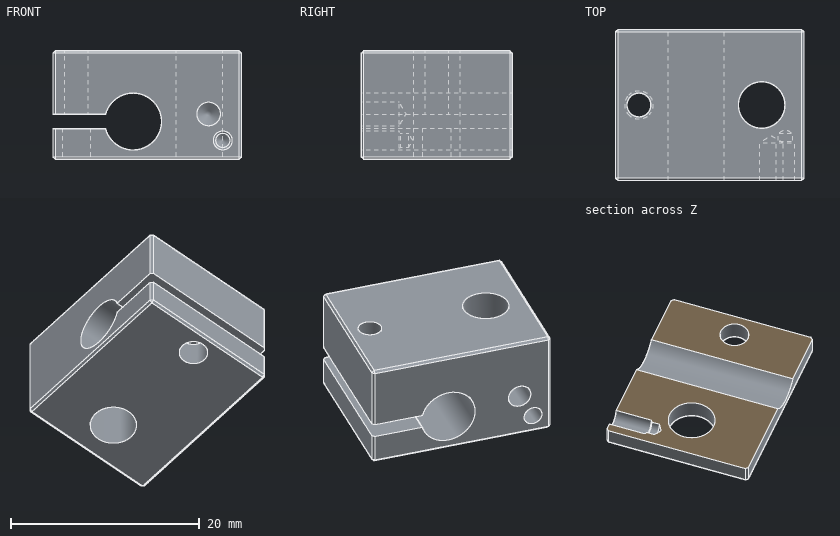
import cadquery as cq
import math

length = 20.0
width = 16.0
height = 11.5
edge_chamfer = 0.25

clamp_x = -1.5
clamp_z = 4.0
clamp_diameter = 6.0
slit_height = 1.5

heater_x = 5.5
heater_diameter = 4.9

clamp_screw_x = -7.5
clamp_screw_diameter = 2.5
clamp_screw_clearance_diameter = 3.0

drill_tip_angle = 118.0
sensor_x, sensor_z = 6.5, 4.8
sensor_diameter = 2.5
sensor_depth = 4.0
screw_x, screw_z = 8.0, 2.0
screw_diameter = 2.0
screw_core_diameter = 1.5
screw_depth = 4.0
screw_core_depth = 5.0


def vertical_cylinder(x, diameter, top_z):
    """Cylinder on the centre plane, running from the bottom face up to top_z."""
    return cq.Workplane("XY").center(x, 0).circle(diameter / 2).extrude(top_z)


def cylinder_along_y(x, z, diameter, depth):
    """Cylinder running from the -Y face in the +Y direction."""
    start = cq.Vector(x, -width / 2, z)
    return cq.Workplane(obj=cq.Solid.makeCylinder(diameter / 2, depth, start, cq.Vector(0, 1, 0)))


def drilled_hole(x, z, diameter, depth):
    """Blind hole from the -Y face; depth is the straight length before the tip."""
    tip_length = diameter / 2 / math.tan(math.radians(drill_tip_angle / 2))
    tip_start = cq.Vector(x, depth - width / 2, z)
    tip = cq.Solid.makeCone(diameter / 2, 0, tip_length, tip_start, cq.Vector(0, 1, 0))
    return cylinder_along_y(x, z, diameter, depth).union(cq.Workplane(obj=tip))


block = cq.Workplane("XY").box(length, width, height, centered=(True, True, False))
result = block.edges().chamfer(edge_chamfer)

slit_length = clamp_x + length / 2
slit = cq.Workplane("XY").box(slit_length, width, slit_height)
slit = slit.translate((clamp_x - slit_length / 2, 0, clamp_z))
result = result.cut(cylinder_along_y(clamp_x, clamp_z, clamp_diameter, width)).cut(slit)

result = result.cut(vertical_cylinder(heater_x, heater_diameter, height))
result = result.cut(vertical_cylinder(clamp_screw_x, clamp_screw_diameter, height))
result = result.cut(vertical_cylinder(clamp_screw_x, clamp_screw_clearance_diameter, clamp_z))

result = result.cut(drilled_hole(sensor_x, sensor_z, sensor_diameter, sensor_depth))

result = result.cut(drilled_hole(screw_x, screw_z, screw_diameter, screw_depth))
result = result.cut(drilled_hole(screw_x, screw_z, screw_core_diameter, screw_core_depth))